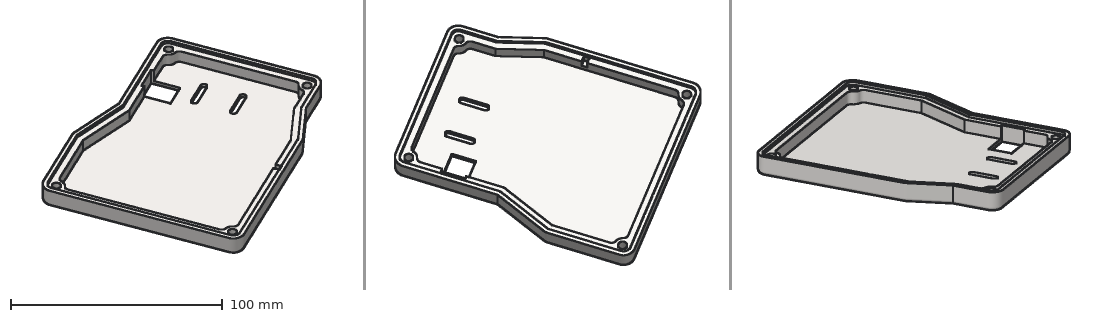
import cadquery as cq

width = 102.3
length = 124.3
height = 10.0
corner_radius = 5.6
bottom_radius = 2.0

upper_left_x = 12.0
upper_right_x = 95.2
left_bend_low_y = 42.8
left_bend_high_y = 71.1
right_bend_low_y = 79.2
right_bend_high_y = 100.8
bend_radius = 4.5

lip_width = 2.2
lip_depth = 1.5
wall_width = 5.7
floor_thickness = 2.0
ledge_z = height - lip_depth

screw_inset = 6.3
screw_diameter = 4.2
boss_radius = 4.0
boss_blend_radius = 2.5
screw_points = [
    (screw_inset, screw_inset),
    (width - screw_inset, screw_inset),
    (upper_right_x - screw_inset, length - screw_inset),
    (upper_left_x + screw_inset, length - screw_inset),
]

window_x = 16.4
window_y = 88.9
window_width = 14.7
window_length = 12.0
slot_width = 3.2
slot_length = 14.9
slot_y = 100.4
slot_xs = (41.0, 60.9)

notch_end_x = 99.7
notch_y = 56.5
notch_width = 2.7
notch_depth = 3.7


def outline():
    """Tray outline with sharp corners, on the bottom plane."""
    return cq.Workplane("XY").polyline([
        (0, 0),
        (width, 0),
        (width, right_bend_low_y),
        (upper_right_x, right_bend_high_y),
        (upper_right_x, length),
        (upper_left_x, length),
        (upper_left_x, left_bend_high_y),
        (0, left_bend_low_y),
    ]).close()


def inset_prism(inset, bottom_z):
    """Prism inside the outline, from bottom_z up to the rim."""
    prism = outline().offset2D(-inset, "intersection").extrude(height - bottom_z)
    return prism.translate((0, 0, bottom_z))


def round_edges(body, points, radius):
    """Round the vertical edges standing at the given points."""
    for x, y in points:
        edge = cq.selectors.NearestToPointSelector((x, y, height / 2))
        body = body.edges("|Z").edges(edge).fillet(radius)
    return body


def outer_block():
    corners = [
        (0, 0),
        (width, 0),
        (upper_right_x, length),
        (upper_left_x, length),
    ]
    outer_bends = [(0, left_bend_low_y), (width, right_bend_low_y)]
    block = round_edges(outline().extrude(height), corners, corner_radius)
    block = round_edges(block, outer_bends, bend_radius)
    return block.faces("<Z").edges().fillet(bottom_radius)


def lip_recess():
    """Shallow recess inside the thin rim."""
    corners = [
        (lip_width, lip_width),
        (width - lip_width, lip_width),
        (upper_right_x - lip_width, length - lip_width),
        (upper_left_x + lip_width, length - lip_width),
    ]
    recess = inset_prism(lip_width, ledge_z)
    return round_edges(recess, corners, corner_radius - lip_width)


def cavity():
    """Main pocket, with its corners taken up by blended screw bosses."""
    bosses = cq.Workplane("XY").pushPoints(screw_points).circle(boss_radius).extrude(height)
    pocket = inset_prism(wall_width, floor_thickness).cut(bosses)
    reach = (boss_radius**2 - (screw_inset - wall_width)**2) ** 0.5
    blends = []
    for x, y in screw_points:
        toward_middle_x = 1 if x < width / 2 else -1
        toward_middle_y = 1 if y < length / 2 else -1
        wall_x = x - toward_middle_x * (screw_inset - wall_width)
        wall_y = y - toward_middle_y * (screw_inset - wall_width)
        blends.append((wall_x, y + toward_middle_y * reach))
        blends.append((x + toward_middle_x * reach, wall_y))
    return round_edges(pocket, blends, boss_blend_radius)


def screw_holes():
    """Blind holes reaching down to the level of the floor."""
    holes = cq.Workplane("XY").workplane(offset=floor_thickness).pushPoints(screw_points)
    return holes.circle(screw_diameter / 2).extrude(height)


def window():
    """Rectangular opening that also cuts through the ledge above it."""
    return cq.Workplane("XY").box(window_width, window_length, height, centered=False).translate(
        (window_x, window_y, 0)
    )


def slots():
    centers = [(x, slot_y) for x in slot_xs]
    return cq.Workplane("XY").pushPoints(centers).slot2D(slot_length, slot_width, 90).extrude(height)


def notch():
    start_x = width - wall_width
    block = cq.Workplane("XY").box(notch_end_x - start_x, notch_width, notch_depth, centered=False)
    return block.translate((start_x, notch_y, ledge_z - notch_depth))


result = outer_block()
for cutter in (lip_recess(), cavity(), screw_holes(), window(), slots(), notch()):
    result = result.cut(cutter)